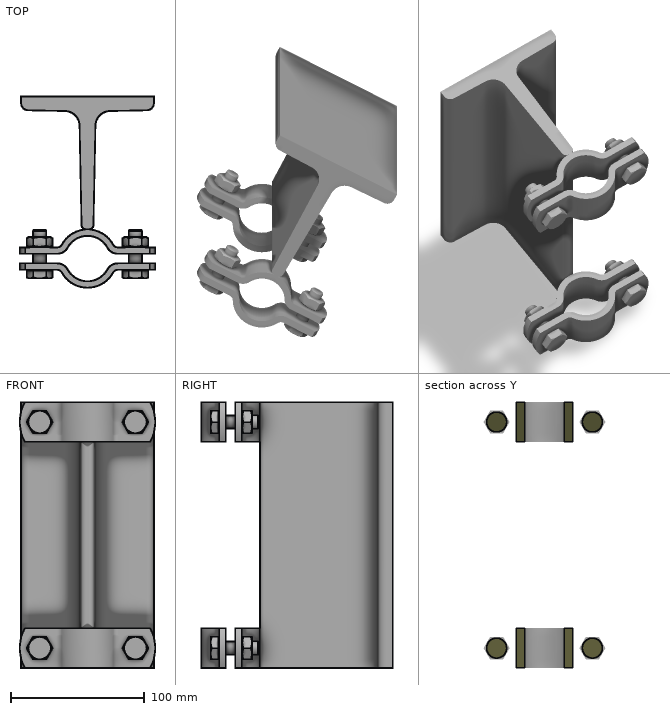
import cadquery as cq
import math

post_length = 200.0

tee_width = 100.0
tee_depth = 100.0
tee_thickness = 11.0
tee_taper = 0.02
root_radius = tee_thickness
flange_tip_radius = tee_thickness / 2
web_tip_radius = 3.3

strap_thickness = 5.0
strap_height = 30.0
strap_gap = 7.0
strap_length = 102.0
ear_end_radius = 30.0
ring_outer_radius = 22.0
ring_inner_radius = ring_outer_radius - strap_thickness
bend_radius = 4.0

bolt_diameter = 10.0
bolt_tip_diameter = 9.19
bolt_length = 30.0
bolt_spacing = 72.0
tip_chamfer_length = 0.9
hex_across_flats = 17.0
nut_face_diameter = 15.4
head_face_diameter = 16.8
washer_face_diameter = 15.4
washer_face_height = 0.6
hex_chamfer_angle = 30.0
head_height = 6.4
nut_height = 8.0

ear_inner_y = strap_gap / 2
ear_outer_y = ear_inner_y + strap_thickness
web_tip_y = ring_outer_radius
flange_back_y = web_tip_y + tee_depth


def make_tee_post():
    """T-section with its web tip resting on the clamp rings."""
    half_width = tee_width / 2
    tip_y = flange_back_y - (tee_thickness - tee_taper * tee_width / 4)
    web_end_half = tee_thickness / 2 - tee_taper * tee_depth / 2
    root_x = web_end_half + tee_taper * (tip_y - web_tip_y - tee_taper * half_width)
    root_x /= 1 - tee_taper ** 2
    root_y = tip_y - tee_taper * (half_width - root_x)

    tee = (
        cq.Workplane("XY")
        .moveTo(-half_width, flange_back_y)
        .lineTo(half_width, flange_back_y)
        .lineTo(half_width, tip_y)
        .lineTo(root_x, root_y)
        .lineTo(web_end_half, web_tip_y)
        .lineTo(-web_end_half, web_tip_y)
        .lineTo(-root_x, root_y)
        .lineTo(-half_width, tip_y)
        .close()
        .extrude(post_length)
    )

    def round_corner_pair(solid, x, y, radius):
        for side in (-1, 1):
            corner = cq.selectors.NearestToPointSelector((side * x, y, post_length / 2))
            solid = solid.edges("|Z").edges(corner).fillet(radius)
        return solid

    tee = round_corner_pair(tee, half_width, tip_y, flange_tip_radius)
    tee = round_corner_pair(tee, root_x, root_y, root_radius)
    return round_corner_pair(tee, web_end_half, web_tip_y, web_tip_radius)


def make_strap():
    """Strap half on the +Y side: two flat ears bent smoothly into a ring arc."""
    half_length = strap_length / 2
    bend_y = ear_outer_y + bend_radius
    centre_distance = ring_outer_radius + bend_radius
    bend_x = math.sqrt(centre_distance ** 2 - bend_y ** 2)
    join_angle = math.atan2(bend_y, bend_x)
    middle_angle = (join_angle + math.pi / 2) / 2

    def ring_point(radius, side):
        return side * radius * math.cos(join_angle), radius * math.sin(join_angle)

    def bend_point(radius, side):
        x = side * (bend_x - radius * math.cos(middle_angle))
        return x, bend_y - radius * math.sin(middle_angle)

    outer_bend = bend_radius
    inner_bend = bend_radius + strap_thickness
    strap = (
        cq.Workplane("XY")
        .moveTo(-half_length, ear_outer_y)
        .lineTo(-bend_x, ear_outer_y)
        .threePointArc(bend_point(outer_bend, -1), ring_point(ring_outer_radius, -1))
        .threePointArc((0, ring_outer_radius), ring_point(ring_outer_radius, 1))
        .threePointArc(bend_point(outer_bend, 1), (bend_x, ear_outer_y))
        .lineTo(half_length, ear_outer_y)
        .lineTo(half_length, ear_inner_y)
        .lineTo(bend_x, ear_inner_y)
        .threePointArc(bend_point(inner_bend, 1), ring_point(ring_inner_radius, 1))
        .threePointArc((0, ring_inner_radius), ring_point(ring_inner_radius, -1))
        .threePointArc(bend_point(inner_bend, -1), (-bend_x, ear_inner_y))
        .lineTo(-half_length, ear_inner_y)
        .close()
        .extrude(strap_height)
    )

    half_height = strap_height / 2
    arc_start_x = half_length - ear_end_radius + math.sqrt(ear_end_radius ** 2 - half_height ** 2)
    plan = (
        cq.Workplane("XZ")
        .moveTo(-arc_start_x, 0)
        .lineTo(arc_start_x, 0)
        .threePointArc((half_length, half_height), (arc_start_x, strap_height))
        .lineTo(-arc_start_x, strap_height)
        .threePointArc((-half_length, half_height), (-arc_start_x, 0))
        .close()
        .extrude(ring_outer_radius, both=True)
    )
    return strap.intersect(plan)


def make_hexagon(height, face_diameter, chamfer_bottom):
    """Hexagon along +Z, corners along X, chamfered on top and optionally below."""
    corner_radius = hex_across_flats / math.sqrt(3)
    face_radius = face_diameter / 2
    drop = (corner_radius - face_radius) * math.tan(math.radians(hex_chamfer_angle))
    hexagon = cq.Workplane("XY").polygon(6, 2 * corner_radius).extrude(height)
    turned = cq.Workplane("XY").circle(corner_radius).extrude(height)
    chamfered_faces = ("<Z", ">Z") if chamfer_bottom else (">Z",)
    for face in chamfered_faces:
        turned = turned.faces(face).chamfer(drop, corner_radius - face_radius)
    return hexagon.intersect(turned)


def make_bolt_with_nut():
    """Bolt along Y, head outside the -Y ear and nut outside the +Y ear, at X = Z = 0."""
    hexagon = make_hexagon(head_height - washer_face_height, head_face_diameter, False)
    head = (
        cq.Workplane("XY")
        .circle(washer_face_diameter / 2)
        .extrude(washer_face_height)
        .union(hexagon.translate((0, 0, washer_face_height)))
        .rotate((0, 0, 0), (1, 0, 0), 180)
        .translate((0, 0, -ear_outer_y))
    )
    nut = make_hexagon(nut_height, nut_face_diameter, True).translate((0, 0, ear_outer_y))
    tip_inset = (bolt_diameter - bolt_tip_diameter) / 2
    shank = (
        cq.Workplane("XY")
        .circle(bolt_diameter / 2)
        .extrude(bolt_length)
        .faces(">Z")
        .chamfer(tip_chamfer_length, tip_inset)
        .translate((0, 0, -ear_outer_y))
    )
    return shank.union(head).union(nut).rotate((0, 0, 0), (1, 0, 0), -90)


def make_clamp(base_z):
    """Complete clamp: two facing straps held together by two bolts with nuts."""
    strap = make_strap()
    clamp = strap.union(strap.mirror("XZ"))
    for side in (-1, 1):
        bolt = make_bolt_with_nut().translate((side * bolt_spacing / 2, 0, strap_height / 2))
        clamp = clamp.union(bolt)
    return clamp.translate((0, 0, base_z))


tee_post = make_tee_post()
clamps = [make_clamp(base_z) for base_z in (0, post_length - strap_height)]

result = cq.Compound.makeCompound([tee_post.val(), *[clamp.val() for clamp in clamps]])